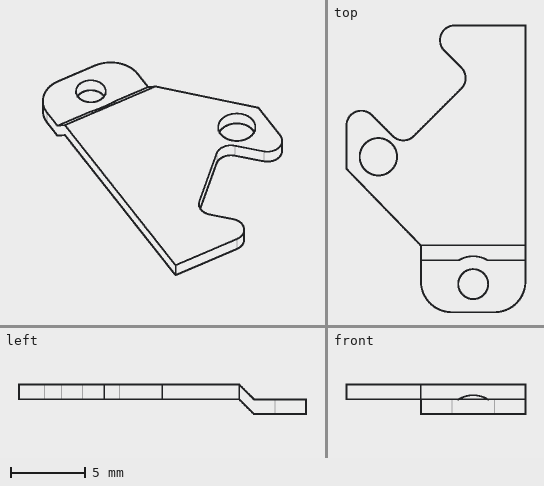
import cadquery as cq
import math

thickness = 1.0
plate_width = 12.05
tab_width = 7.05
tab_end_y = -1.9
total_length = 19.3
plate_end_y = tab_end_y + total_length
right_x = tab_width / 2
tab_left_x = -tab_width / 2
plate_left_x = right_x - plate_width

bend_start_y = 1.6
bend_length = 1.0
bend_end_y = bend_start_y + bend_length
bend_rise = 1.0
total_height = thickness + bend_rise

slope_top_y = bend_end_y + 5.15
notch_width = 6.5
notch_floor_offset = 13.95
notch_axis_sum = 9.15
notch_corner_radius = 1.0
tab_corner_radius = 2.1

tab_hole_diameter = 2.0
screw_head_diameter = 3.75
plate_hole_diameter = 2.5
plate_hole_x = plate_left_x + 2.15
plate_hole_y = 8.56


def make_bent_strip():
    """Stepped sheet profile in the YZ plane, extruded over the full plate width."""
    profile = [
        (tab_end_y, 0),
        (bend_start_y, 0),
        (bend_end_y, bend_rise),
        (plate_end_y, bend_rise),
        (plate_end_y, total_height),
        (bend_end_y, total_height),
        (bend_start_y, thickness),
        (tab_end_y, thickness),
    ]
    strip = cq.Workplane("YZ").polyline(profile).close().extrude(plate_width)
    return strip.translate((plate_left_x, 0, 0))


def make_outline_prism():
    """Vertical prism of the plan outline, with its notch and tab corners rounded."""
    wall_shift = notch_width / math.sqrt(2)
    lower_wall_sum = notch_axis_sum - wall_shift
    upper_wall_sum = notch_axis_sum + wall_shift
    lower_tip = (plate_left_x, lower_wall_sum - plate_left_x)
    upper_tip = (upper_wall_sum - plate_end_y, plate_end_y)
    lower_notch_corner = (
        (lower_wall_sum - notch_floor_offset) / 2,
        (lower_wall_sum + notch_floor_offset) / 2,
    )
    upper_notch_corner = (
        (upper_wall_sum - notch_floor_offset) / 2,
        (upper_wall_sum + notch_floor_offset) / 2,
    )
    tab_corners = [(tab_left_x, tab_end_y), (right_x, tab_end_y)]
    notch_corners = [lower_tip, lower_notch_corner, upper_notch_corner, upper_tip]
    outline = [
        *tab_corners,
        (right_x, plate_end_y),
        *reversed(notch_corners),
        (plate_left_x, slope_top_y),
        (tab_left_x, bend_end_y),
    ]
    prism = cq.Workplane("XY").polyline(outline).close().extrude(total_height)
    prism = round_corners(prism, notch_corners, notch_corner_radius)
    return round_corners(prism, tab_corners, tab_corner_radius)


def round_corners(prism, corners, radius):
    """Fillet the vertical edges of the prism that stand on the given plan corners."""
    for x, y in corners:
        edge_middle = (x, y, total_height / 2)
        prism = prism.edges("|Z").edges(cq.selectors.NearestToPointSelector(edge_middle)).fillet(radius)
    return prism


def make_cylinder(x, y, base_z, diameter):
    """Vertical cutting cylinder from base_z up to the top of the part."""
    base = cq.Workplane("XY", origin=(x, y, base_z))
    return base.circle(diameter / 2).extrude(total_height - base_z)


result = make_bent_strip().intersect(make_outline_prism())
result = result.cut(make_cylinder(0, 0, 0, tab_hole_diameter))
result = result.cut(make_cylinder(0, 0, thickness, screw_head_diameter))
result = result.cut(make_cylinder(plate_hole_x, plate_hole_y, 0, plate_hole_diameter))